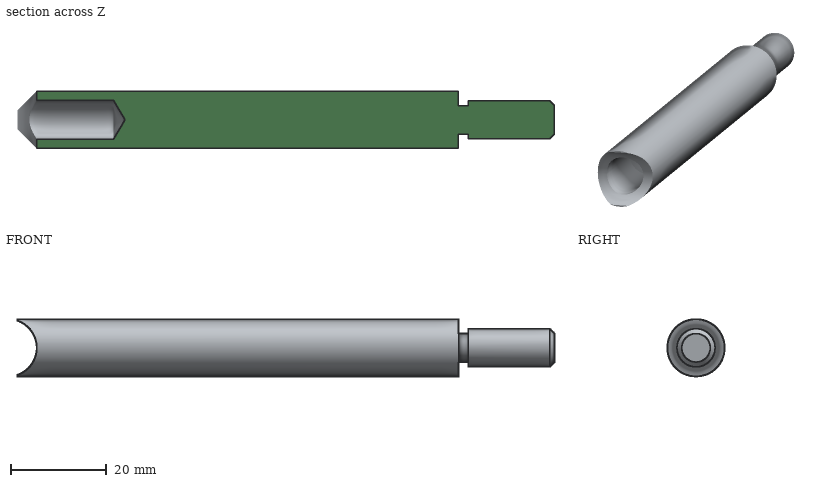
import cadquery as cq

total_length = 112.0
rod_diameter = 12.0
stud_diameter = 8.0
neck_diameter = 6.0
stud_length = 20.0
neck_length = 2.0
stud_chamfer = 1.0

saddle_radius = rod_diameter / 2
saddle_depth = 4.0

bore_diameter = 8.0
bore_depth = 20.0
drill_tip_height = 2.4

shoulder_x = total_length - stud_length
neck_end_x = shoulder_x + neck_length


def rod_along_x(start, length, diameter):
    """Solid cylinder on the X axis."""
    return cq.Workplane("YZ", origin=(start, 0, 0)).circle(diameter / 2).extrude(length)


def make_stud():
    """Undercut neck followed by a stud with a chamfered end."""
    neck = rod_along_x(shoulder_x, neck_length, neck_diameter)
    stud = rod_along_x(neck_end_x, total_length - neck_end_x, stud_diameter)
    return neck.union(stud.faces(">X").chamfer(stud_chamfer))


def make_saddle_cutter():
    """Cross cylinder along Y that notches the rod end."""
    return (
        cq.Workplane("XZ")
        .center(saddle_depth - saddle_radius, 0)
        .circle(saddle_radius)
        .extrude(rod_diameter, both=True)
    )


def make_bore_cutter():
    """Blind drilled hole with a conical bottom."""
    radius = bore_diameter / 2
    return (
        cq.Workplane("XY")
        .moveTo(0, 0)
        .lineTo(0, radius)
        .lineTo(bore_depth, radius)
        .lineTo(bore_depth + drill_tip_height, 0)
        .close()
        .revolve(360, (0, 0, 0), (1, 0, 0))
    )


body = rod_along_x(0, shoulder_x, rod_diameter)
body = body.cut(make_saddle_cutter())
body = body.cut(make_bore_cutter())
result = body.union(make_stud())